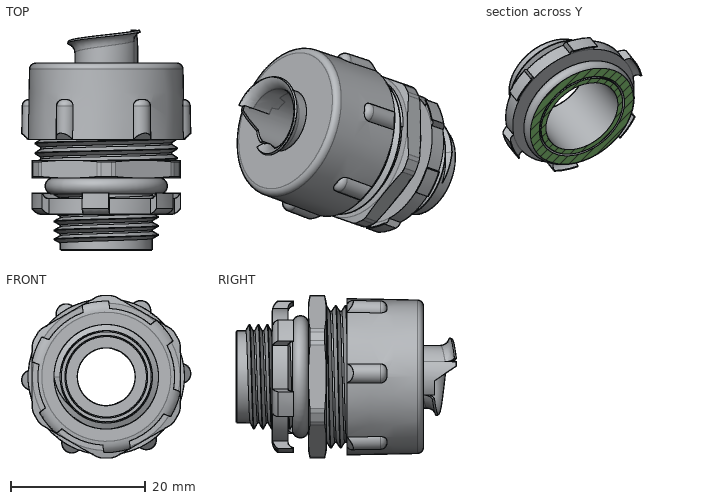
import cadquery as cq
import math


NUT_FRONT = 5.38
CLAW_ROUND_END = 6.25
NUT_DISC_BACK = 7.77
CLAW_BACK = 8.57
HEX_FRONT = 10.8
HEX_BACK = 13.46
CAP_MOUTH = 16.52
CAP_BACK = 27.97
TOTAL_LENGTH = 32.88

ENTRY_RADIUS = 13.79 / 2
ENTRY_THREAD_RADIUS = 15.6 / 2
ENTRY_THREAD_PITCH = 1.34
ENTRY_THREAD_START = 1.66
ENTRY_THREAD_LENGTH = 7.0
ENTRY_BORE_RADIUS = 12.0 / 2
RIM_CHAMFER = 0.18

NECK_RADIUS = 9.8
NECK_THREAD_RADIUS = 21.3 / 2
NECK_THREAD_PITCH = 1.47
NECK_THREAD_START = 13.04
NECK_THREAD_LENGTH = 4.4

THREAD_BASE_SHARE = 0.9
THREAD_CREST_WIDTH = 0.1
THREAD_ROOT_OVERLAP = 0.1
THREAD_START_ANGLE = 180
RUNOUT_ANGLE = 38
RUNOUT_STEPS = 4
RUNOUT_END_SCALE = 0.15

HEX_SIDES = 6
HEX_ACROSS_FLATS = 22.1
HEX_ACROSS_CUT_CORNERS = 24.25
HEX_CORNER_EASE = 0.35
HEX_FACE_RADIUS = 11.0
HEX_BEVEL_WIDTH = 1.25
HEX_BEVEL_DEPTH = 0.27

CLAW_COUNT = 6
CLAW_ANGLE = -98.4
CLAW_WIDTH = 4.0
CLAW_RADIUS = 11.3
CLAW_TIP_RADIUS = 11.15
NUT_DISC_RADIUS = 10.2
NUT_FACE_RADIUS = 9.63

SEAL_SECTION_RADIUS = 1.21
SEAL_OUTER_RADIUS = 9.12
SEAL_CENTRE = 9.61

CAP_MOUTH_RADIUS = 11.67
CAP_BACK_RADIUS = 11.45
CAP_ROUND = 0.95
GRIP_COUNT = 6
GRIP_ANGLE = -2.5
GRIP_RADIUS = 1.5
GRIP_REACH = 12.65
GRIP_LENGTH = 6.0
GRIP_END_ROUND = 1.0
GRIP_BEVEL = 1.0

TUBE_RADIUS = 9.4 / 2
TUBE_BORE_RADIUS = 8.6 / 2
LIP_RADIUS = 5.8
LIP_PITCH = 4.0
LIP_SPAN = 296
LIP_END_ANGLE = -28.6
WALL_FOOT = CAP_BACK - CAP_ROUND
FLARE_HEIGHT = 1.7
LIP_EDGE_INSET = 0.15
THROAT_BULGE = 0.1
LIP_EDGE_HEIGHT = 0.3
RAMP_TOP_OFFSET = 1.6
RAMP_FOOT_OFFSET = -0.6


def cylinder(radius, start, end):
    return cq.Workplane("XY").workplane(offset=start).circle(radius).extrude(end - start)


def revolved(profile):
    """Turn a closed (radius, height) outline around the Z axis."""
    return profile.close().revolve(360, (0, 0, 0), (0, 1, 0))


def ridge_section(core_radius, crest_radius, pitch, scale=1.0):
    """Outline across a thread ridge, shrunk evenly towards its foot where the thread fades."""
    foot_radius = core_radius - THREAD_ROOT_OVERLAP
    faded_crest_radius = foot_radius + scale * (crest_radius - foot_radius)
    half_foot = scale * THREAD_BASE_SHARE * pitch / 2
    half_crest = scale * THREAD_CREST_WIDTH / 2
    return (
        cq.Workplane("XZ")
        .moveTo(foot_radius, -half_foot)
        .lineTo(faded_crest_radius, -half_crest)
        .lineTo(faded_crest_radius, half_crest)
        .lineTo(foot_radius, half_foot)
        .close()
    )


def placed_thread(ridge, start):
    return ridge.rotate((0, 0, 0), (0, 0, 1), THREAD_START_ANGLE).translate((0, 0, start))


def thread_ridge(core_radius, crest_radius, pitch, start, length):
    helix = cq.Wire.makeHelix(pitch, length, core_radius)
    ridge = ridge_section(core_radius, crest_radius, pitch).sweep(cq.Workplane(helix), isFrenet=True)
    return placed_thread(ridge, start)


def entry_thread_runout():
    sections = []
    for step in range(RUNOUT_STEPS + 1):
        share = step / RUNOUT_STEPS
        turn = share * RUNOUT_ANGLE
        drop = ENTRY_THREAD_PITCH * turn / 360
        scale = 1 - share * (1 - RUNOUT_END_SCALE)
        outline = ridge_section(ENTRY_RADIUS, ENTRY_THREAD_RADIUS, ENTRY_THREAD_PITCH, scale)
        wire = outline.val().rotate(cq.Vector(0, 0, 0), cq.Vector(0, 0, 1), -turn)
        sections.append(wire.translate(cq.Vector(0, 0, -drop)))
    return placed_thread(cq.Workplane(cq.Solid.makeLoft(sections)), ENTRY_THREAD_START)


def entry():
    tube = cylinder(ENTRY_RADIUS, 0, HEX_FRONT).faces("<Z").chamfer(RIM_CHAMFER)
    ridge = thread_ridge(
        ENTRY_RADIUS, ENTRY_THREAD_RADIUS, ENTRY_THREAD_PITCH, ENTRY_THREAD_START, ENTRY_THREAD_LENGTH
    )
    return tube.union(ridge).union(entry_thread_runout())


def neck():
    core = cylinder(NECK_RADIUS, HEX_FRONT, CAP_BACK - CAP_ROUND)
    ridge = thread_ridge(
        NECK_RADIUS, NECK_THREAD_RADIUS, NECK_THREAD_PITCH, NECK_THREAD_START, NECK_THREAD_LENGTH
    )
    return core.union(ridge)


def body_hexagon():
    height = HEX_BACK - HEX_FRONT
    corner_turn = 180 / HEX_SIDES
    hexagon = cq.Workplane("XY").polygon(HEX_SIDES, HEX_ACROSS_FLATS, circumscribed=True).extrude(height)
    corner_cut = cq.Workplane("XY").polygon(HEX_SIDES, HEX_ACROSS_CUT_CORNERS, circumscribed=True)
    corner_cut = corner_cut.extrude(height).rotate((0, 0, 0), (0, 0, 1), corner_turn)
    hexagon = hexagon.intersect(corner_cut).edges("|Z").chamfer(HEX_CORNER_EASE)
    outer_radius = HEX_FACE_RADIUS + HEX_BEVEL_WIDTH
    bevels = revolved(
        cq.Workplane("XZ")
        .moveTo(0, 0)
        .lineTo(HEX_FACE_RADIUS, 0)
        .lineTo(outer_radius, HEX_BEVEL_DEPTH)
        .lineTo(outer_radius, height - HEX_BEVEL_DEPTH)
        .lineTo(HEX_FACE_RADIUS, height)
        .lineTo(0, height)
    )
    return hexagon.intersect(bevels).translate((0, 0, HEX_FRONT))


def seal():
    section_centre = SEAL_OUTER_RADIUS - SEAL_SECTION_RADIUS
    ring = cq.Workplane("XZ").center(-section_centre, 0).circle(SEAL_SECTION_RADIUS)
    return ring.revolve(360, (section_centre, 0, 0), (section_centre, 1, 0)).translate((0, 0, SEAL_CENTRE))


def locknut():
    """Disc whose rim is notched down to claws that hook backwards around the sealing ring."""
    diagonal = math.sqrt(0.5)
    hollow_middle = (
        NUT_DISC_RADIUS + (CLAW_TIP_RADIUS - NUT_DISC_RADIUS) * diagonal,
        CLAW_BACK - (CLAW_BACK - NUT_DISC_BACK) * diagonal,
    )
    blank = revolved(
        cq.Workplane("XZ")
        .moveTo(0, NUT_FRONT)
        .lineTo(NUT_FACE_RADIUS, NUT_FRONT)
        .tangentArcPoint((CLAW_RADIUS, CLAW_ROUND_END), relative=False)
        .lineTo(CLAW_RADIUS, CLAW_BACK)
        .lineTo(CLAW_TIP_RADIUS, CLAW_BACK)
        .threePointArc(hollow_middle, (NUT_DISC_RADIUS, NUT_DISC_BACK))
        .lineTo(0, NUT_DISC_BACK)
    )
    claw_length = CLAW_RADIUS + CLAW_WIDTH / 2
    keep = cylinder(NUT_DISC_RADIUS, NUT_FRONT, NUT_DISC_BACK)
    for index in range(CLAW_COUNT):
        claw = cq.Workplane("XY").box(claw_length, CLAW_WIDTH, CLAW_BACK, centered=(False, True, False))
        keep = keep.union(claw.rotate((0, 0, 0), (0, 0, 1), CLAW_ANGLE + index * 360 / CLAW_COUNT))
    return blank.intersect(keep)


def cap():
    shell = revolved(
        cq.Workplane("XZ")
        .moveTo(0, CAP_MOUTH)
        .lineTo(CAP_MOUTH_RADIUS, CAP_MOUTH)
        .lineTo(CAP_BACK_RADIUS, CAP_BACK)
        .lineTo(0, CAP_BACK)
    )
    shell = shell.faces(">Z").edges().fillet(CAP_ROUND)
    draft = math.degrees(math.atan2(CAP_MOUTH_RADIUS - CAP_BACK_RADIUS, CAP_BACK - CAP_MOUTH))
    bevel = revolved(
        cq.Workplane("XZ")
        .moveTo(0, CAP_MOUTH)
        .lineTo(GRIP_REACH - GRIP_BEVEL, CAP_MOUTH)
        .lineTo(GRIP_REACH + GRIP_LENGTH - GRIP_BEVEL, CAP_MOUTH + GRIP_LENGTH)
        .lineTo(0, CAP_MOUTH + GRIP_LENGTH)
    )
    for index in range(GRIP_COUNT):
        grip = cylinder(GRIP_RADIUS, -GRIP_BEVEL, GRIP_LENGTH).faces(">Z").edges().fillet(GRIP_END_ROUND)
        grip = grip.rotate((0, 0, 0), (0, 1, 0), -draft)
        grip = grip.translate((GRIP_REACH - GRIP_RADIUS, 0, CAP_MOUTH)).intersect(bevel)
        shell = shell.union(grip.rotate((0, 0, 0), (0, 0, 1), GRIP_ANGLE + index * 360 / GRIP_COUNT))
    return shell


def ferrule_lip():
    """Flared tube wall that climbs along a helix and stops short of a full turn."""
    climb = LIP_PITCH * LIP_SPAN / 360
    helix = cq.Wire.makeHelix(LIP_PITCH, climb, TUBE_RADIUS)
    wall_foot = WALL_FOOT - TOTAL_LENGTH
    lip = (
        cq.Workplane("XZ")
        .moveTo(TUBE_BORE_RADIUS, wall_foot)
        .lineTo(TUBE_RADIUS, wall_foot)
        .lineTo(TUBE_RADIUS, -FLARE_HEIGHT)
        .tangentArcPoint((LIP_RADIUS, -LIP_EDGE_HEIGHT), relative=False)
        .lineTo(LIP_RADIUS - LIP_EDGE_INSET, 0)
        .threePointArc((TUBE_RADIUS + THROAT_BULGE, -FLARE_HEIGHT / 3), (TUBE_BORE_RADIUS, -FLARE_HEIGHT))
        .close()
        .sweep(cq.Workplane(helix), isFrenet=True)
    )
    lip = lip.translate((0, 0, TOTAL_LENGTH - climb))
    return lip.rotate((0, 0, 0), (0, 0, 1), LIP_END_ANGLE - LIP_SPAN)


def ferrule_ramp():
    """Plain tube wall that ramps down between the high and the low end of the lip."""
    low_end_angle = math.radians(LIP_END_ANGLE - LIP_SPAN)
    high_side = TUBE_RADIUS * math.sin(math.radians(LIP_END_ANGLE))
    low_side = TUBE_RADIUS * math.sin(low_end_angle)
    low_height = TOTAL_LENGTH - LIP_PITCH * LIP_SPAN / 360
    side_outline = (
        cq.Workplane("YZ")
        .moveTo(high_side, WALL_FOOT)
        .lineTo(high_side, TOTAL_LENGTH)
        .lineTo(-RAMP_TOP_OFFSET, TOTAL_LENGTH)
        .lineTo(-RAMP_FOOT_OFFSET, low_height)
        .lineTo(low_side, low_height)
        .lineTo(low_side, WALL_FOOT)
        .close()
        .extrude(TUBE_RADIUS)
    )
    tube = cylinder(TUBE_RADIUS, WALL_FOOT, TOTAL_LENGTH)
    wall = tube.cut(cylinder(TUBE_BORE_RADIUS, WALL_FOOT, TOTAL_LENGTH))
    return wall.intersect(side_outline)


def bore():
    passage = cylinder(TUBE_BORE_RADIUS, 0, CAP_BACK)
    entry_bore = cylinder(ENTRY_BORE_RADIUS, 0, CAP_MOUTH)
    rim = cq.Workplane("XY").circle(ENTRY_BORE_RADIUS + RIM_CHAMFER).extrude(RIM_CHAMFER, taper=45)
    return passage.union(entry_bore).union(rim)


connector = entry().union(neck()).union(body_hexagon()).union(seal()).union(locknut()).union(cap())
connector = connector.cut(bore()).union(ferrule_lip()).union(ferrule_ramp())
result = connector.rotate((0, 0, 0), (1, 0, 0), -90)